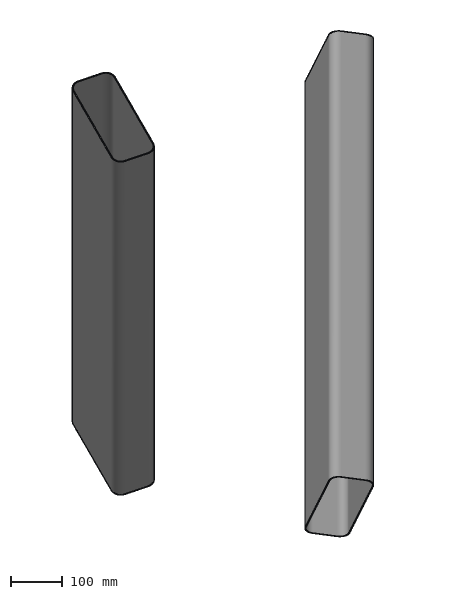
import cadquery as cq

width = 222.0
depth = 89.0
height = 1000.0

wall = 2.2
outer_radius = 20.0
inner_radius = outer_radius - wall


def rounded_bar(size_x, size_y, corner_radius):
    """Full-height bar with its four vertical edges rounded."""
    bar = cq.Workplane("XY").rect(size_x, size_y).extrude(height)
    return bar.edges("|Z").fillet(corner_radius)


outer_body = rounded_bar(width, depth, outer_radius)
through_bore = rounded_bar(width - 2 * wall, depth - 2 * wall, inner_radius)

result = outer_body.cut(through_bore)